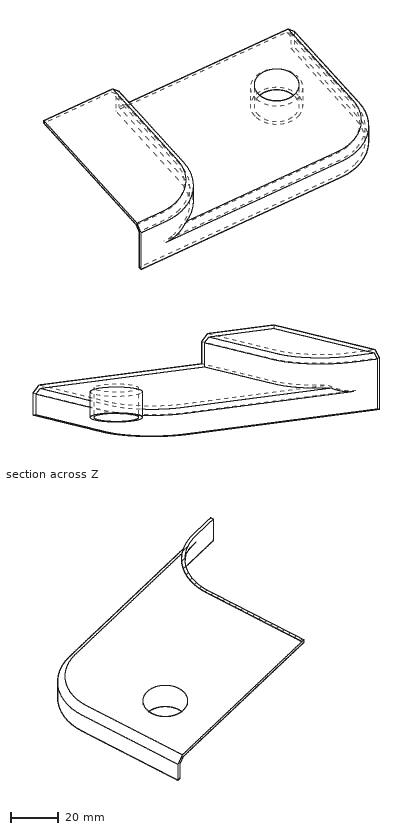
import cadquery as cq
import math

width = 76.2
length = 127.0
upper_height = 25.4
lower_height = upper_height / 2
upper_length = 38.1

wall = 1.59
corner_radius = 25.4
chamfer = 3.2
inner_chamfer = chamfer - wall * (2 - math.sqrt(2))

hole_diameter = 19.0
boss_diameter = hole_diameter + 2 * wall
hole_inset = 25.4
hole_x = hole_inset
hole_y = length - hole_inset


def rounded_block(size_x, size_y, height, radius, top_chamfer):
    """Block with its back right corner rounded and those outer top edges chamfered."""
    block = cq.Workplane("XY").box(size_x, size_y, height, centered=False)
    block = block.edges("|Z and >X and >Y").fillet(radius)
    return block.faces(">Z").edges(">Y or >X or (%CIRCLE)").chamfer(top_chamfer)


def outer_block(size_y, height):
    return rounded_block(width, size_y, height, corner_radius, chamfer)


def cavity(size_y, height):
    """Inside of an outer block, offset inward by the wall but open at left, front and bottom."""
    return rounded_block(
        width - wall, size_y - wall, height - wall, corner_radius - wall, inner_chamfer
    )


def cylinder(diameter, height):
    return cq.Workplane("XY").center(hole_x, hole_y).circle(diameter / 2).extrude(height)


cover = outer_block(length, lower_height).union(outer_block(upper_length, upper_height))
cover = cover.cut(cavity(length, lower_height)).cut(cavity(upper_length, upper_height))

result = cover.union(cylinder(boss_diameter, lower_height)).cut(cylinder(hole_diameter, lower_height))